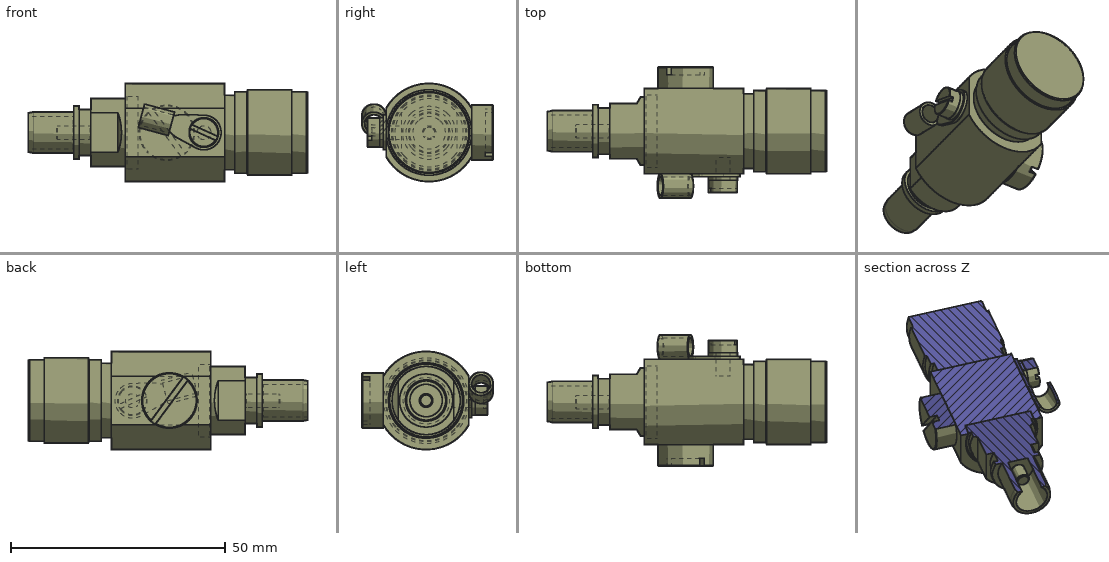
import cadquery as cq
import math


HOUSING_RADIUS = 11.5
HOUSING_START = 22.7
HOUSING_END = 45.85
FLAT_Y = 10.0

TIP_RADIUS = 4.85
TIP_CHAMFER_LENGTH = 1.25
TIP_CHAMFER_HEIGHT = 0.25
COLLAR_START = 10.65
COLLAR_END = 11.9
COLLAR_RADIUS = 6.2
NECK_RADIUS = 5.4
SHANK_START = 14.65
SHANK_RADIUS = 8.0
SPIGOT_RADIUS = 8.5
SPIGOT_LENGTH = 2.6
SPIGOT_CHAMFER = 0.3
SPIGOT_START = HOUSING_START + SPIGOT_CHAMFER
SPIGOT_END = SPIGOT_START + SPIGOT_LENGTH
PLUG_BORE_RADIUS = 3.8
PLUG_BORE_DEPTH = 10.45
WRENCH_FLAT_Y = 6.5
WRENCH_FLAT_END = 20.9
WRENCH_RUNOUT = 0.9

PIN_RADIUS = 1.6
PIN_TIP = 6.55
PIN_SEAT_DEPTH = 3.9
PIN_CHAMFER = 0.25
PIN_END = PLUG_BORE_DEPTH + PIN_SEAT_DEPTH

SOCKET_NECK_RADIUS = 8.75
SOCKET_BODY_START = 48.2
SOCKET_BODY_RADIUS = 9.55
GRIP_START = 51.1
GRIP_END = 61.6
GRIP_RADIUS = 10.0
GRIP_CHAMFER_LENGTH = 0.2
SOCKET_END = 65.3
SOCKET_RIM_CHAMFER_LENGTH = 0.4
SOCKET_RIM_CHAMFER_HEIGHT = 0.2

CAP_X = 32.35
CAP_RADIUS = 6.5
CAP_TOP_Y = 15.0
CAP_EDGE_CHAMFER = 0.2
CAP_SLOT_WIDTH = 1.3
CAP_SLOT_DEPTH = 1.8
CAP_SLOT_ANGLE = -53.5

SCREW_X = 41.0
LUG_ANGLE = 15.0
LUG_THICKNESS = 0.7
LUG_EYE_RADIUS = 4.05
LUG_TAPER = 13.5
LUG_SHOULDER = 6.2
LUG_SHOULDER_FILLET = 3.25
SHOULDER_REACH = 0.65
BARREL_START = 7.85
BARREL_LENGTH = 7.25
BARREL_RADIUS = 2.84
BARREL_BORE_RADIUS = 2.15
BARREL_Y = -FLAT_Y - BARREL_RADIUS

WASHER_RADIUS = 3.45
WASHER_THICKNESS = 0.8
HEAD_RADIUS = 3.4
HEAD_TOP_Y = -14.4
HEAD_EDGE_CHAMFER = 0.1
HEAD_SLOT_WIDTH = 1.05
HEAD_SLOT_DEPTH = 1.0
HEAD_SLOT_ANGLE = -24.4
SCREW_RADIUS = 1.65
SCREW_SEAT_DEPTH = 3.9
WASHER_BASE_Y = -FLAT_Y - LUG_THICKNESS
HEAD_BASE_Y = WASHER_BASE_Y - WASHER_THICKNESS
SCREW_END_Y = -FLAT_Y + SCREW_SEAT_DEPTH


def turned(profile):
    """Revolve a list of (x, radius) corners about the X axis."""
    return cq.Workplane("XZ").polyline(profile).close().revolve(360, (0, 0, 0), (1, 0, 0))


def cross_disc(x, radius, y_from, y_to):
    """A cylinder along Y, centred at the given x, between two heights in Y."""
    return cq.Workplane("XZ", origin=(0, y_to, 0)).center(x, 0).circle(radius).extrude(y_to - y_from)


def slot_cutter(x, length, width, y_from, y_to, angle):
    """A straight bar across a round head, turned about the head's Y axis."""
    bar = cq.Workplane("XY").box(length, y_to - y_from, width)
    bar = bar.rotate((0, 0, 0), (0, -1, 0), angle)
    return bar.translate((x, (y_from + y_to) / 2, 0))


def make_housing():
    length = HOUSING_END - HOUSING_START
    bar = cq.Workplane("YZ", origin=(HOUSING_START, 0, 0)).circle(HOUSING_RADIUS).extrude(length)
    between_flats = cq.Workplane("YZ", origin=(HOUSING_START, 0, 0)).rect(
        2 * FLAT_Y, 2 * HOUSING_RADIUS).extrude(length)
    spigot_bore = turned([
        (HOUSING_START, 0),
        (HOUSING_START, SPIGOT_RADIUS + SPIGOT_CHAMFER),
        (SPIGOT_START, SPIGOT_RADIUS),
        (SPIGOT_END, SPIGOT_RADIUS),
        (SPIGOT_END, 0),
    ])
    screw_hole = cross_disc(SCREW_X, SCREW_RADIUS, -FLAT_Y, SCREW_END_Y)
    return bar.intersect(between_flats).cut(spigot_bore).cut(screw_hole)


def wrench_flat_cutter(side):
    """Material removed from the shank on the +Y (side = 1) or -Y (side = -1) face."""
    outline = [
        (SHANK_START, side * WRENCH_FLAT_Y),
        (WRENCH_FLAT_END, side * WRENCH_FLAT_Y),
        (WRENCH_FLAT_END + WRENCH_RUNOUT, side * SHANK_RADIUS),
        (SHANK_START, side * SHANK_RADIUS),
    ]
    return cq.Workplane("XY").polyline(outline).close().extrude(SHANK_RADIUS, both=True)


def make_plug():
    plug = turned([
        (0, PLUG_BORE_RADIUS),
        (0, TIP_RADIUS - TIP_CHAMFER_HEIGHT),
        (TIP_CHAMFER_LENGTH, TIP_RADIUS),
        (COLLAR_START, TIP_RADIUS),
        (COLLAR_START, COLLAR_RADIUS),
        (COLLAR_END, COLLAR_RADIUS),
        (COLLAR_END, NECK_RADIUS),
        (SHANK_START, NECK_RADIUS),
        (SHANK_START, SHANK_RADIUS),
        (SPIGOT_START, SHANK_RADIUS),
        (SPIGOT_START, SPIGOT_RADIUS),
        (SPIGOT_END, SPIGOT_RADIUS),
        (SPIGOT_END, 0),
        (PIN_END, 0),
        (PIN_END, PIN_RADIUS),
        (PLUG_BORE_DEPTH, PIN_RADIUS),
        (PLUG_BORE_DEPTH, PLUG_BORE_RADIUS),
    ])
    for side in (-1, 1):
        plug = plug.cut(wrench_flat_cutter(side))
    return plug


def make_pin():
    return turned([
        (PIN_TIP, 0),
        (PIN_TIP, PIN_RADIUS - PIN_CHAMFER),
        (PIN_TIP + PIN_CHAMFER, PIN_RADIUS),
        (PIN_END, PIN_RADIUS),
        (PIN_END, 0),
    ])


def make_socket():
    return turned([
        (HOUSING_END, 0),
        (HOUSING_END, SOCKET_NECK_RADIUS),
        (SOCKET_BODY_START, SOCKET_NECK_RADIUS),
        (SOCKET_BODY_START, SOCKET_BODY_RADIUS),
        (GRIP_START, SOCKET_BODY_RADIUS),
        (GRIP_START + GRIP_CHAMFER_LENGTH, GRIP_RADIUS),
        (GRIP_END, GRIP_RADIUS),
        (GRIP_END, SOCKET_BODY_RADIUS),
        (SOCKET_END - SOCKET_RIM_CHAMFER_LENGTH, SOCKET_BODY_RADIUS),
        (SOCKET_END, SOCKET_BODY_RADIUS - SOCKET_RIM_CHAMFER_HEIGHT),
        (SOCKET_END, 0),
    ])


def make_cap():
    cap = cross_disc(CAP_X, CAP_RADIUS, FLAT_Y, CAP_TOP_Y)
    cap = cap.faces(">Y").chamfer(CAP_EDGE_CHAMFER)
    slot = slot_cutter(CAP_X, 3 * CAP_RADIUS, CAP_SLOT_WIDTH,
                       CAP_TOP_Y - CAP_SLOT_DEPTH, CAP_TOP_Y, CAP_SLOT_ANGLE)
    return cap.cut(slot)


def make_lug():
    taper = math.radians(LUG_TAPER)
    tangent_x = LUG_EYE_RADIUS * -math.sin(taper)
    tangent_z = LUG_EYE_RADIUS * math.cos(taper)
    shoulder_z = LUG_EYE_RADIUS / math.cos(taper) - LUG_SHOULDER * math.tan(taper)
    root_z = math.sqrt(BARREL_RADIUS ** 2 - (BARREL_RADIUS - LUG_THICKNESS) ** 2)
    plate = (
        cq.Workplane("XZ", origin=(0, -FLAT_Y, 0))
        .moveTo(tangent_x, -tangent_z)
        .threePointArc((LUG_EYE_RADIUS, 0), (tangent_x, tangent_z))
        .lineTo(-LUG_SHOULDER, shoulder_z)
        .lineTo(-BARREL_START, root_z)
        .lineTo(-BARREL_START, -root_z)
        .lineTo(-LUG_SHOULDER, -shoulder_z)
        .close()
        .extrude(LUG_THICKNESS)
    )
    shoulders = cq.selectors.BoxSelector(
        (-LUG_SHOULDER - SHOULDER_REACH, -2 * FLAT_Y, -LUG_EYE_RADIUS),
        (-LUG_SHOULDER + SHOULDER_REACH, 0, LUG_EYE_RADIUS),
    )
    plate = plate.edges("|Y").edges(shoulders).fillet(LUG_SHOULDER_FILLET)
    screw_hole = cross_disc(0, SCREW_RADIUS, WASHER_BASE_Y, -FLAT_Y)
    barrel = (
        cq.Workplane("YZ", origin=(-BARREL_START, BARREL_Y, 0))
        .circle(BARREL_RADIUS)
        .circle(BARREL_BORE_RADIUS)
        .extrude(-BARREL_LENGTH)
    )
    lug = plate.cut(screw_hole).union(barrel)
    return lug.rotate((0, 0, 0), (0, 1, 0), LUG_ANGLE).translate((SCREW_X, 0, 0))


def make_washer():
    disc = cross_disc(SCREW_X, WASHER_RADIUS, HEAD_BASE_Y, WASHER_BASE_Y)
    return disc.cut(cross_disc(SCREW_X, SCREW_RADIUS, HEAD_BASE_Y, WASHER_BASE_Y))


def make_screw():
    head = cross_disc(SCREW_X, HEAD_RADIUS, HEAD_TOP_Y, HEAD_BASE_Y)
    head = head.faces("<Y").chamfer(HEAD_EDGE_CHAMFER)
    slot = slot_cutter(SCREW_X, 3 * HEAD_RADIUS, HEAD_SLOT_WIDTH,
                       HEAD_TOP_Y, HEAD_TOP_Y + HEAD_SLOT_DEPTH, HEAD_SLOT_ANGLE)
    shank = cross_disc(SCREW_X, SCREW_RADIUS, HEAD_BASE_Y, SCREW_END_Y)
    return head.cut(slot).union(shank)


housing = make_housing()
plug = make_plug()
pin = make_pin()
socket = make_socket()
cap = make_cap()
lug = make_lug()
washer = make_washer()
screw = make_screw()

result = cq.Compound.makeCompound([
    housing.val(),
    plug.val(),
    pin.val(),
    socket.val(),
    cap.val(),
    lug.val(),
    washer.val(),
    screw.val(),
])